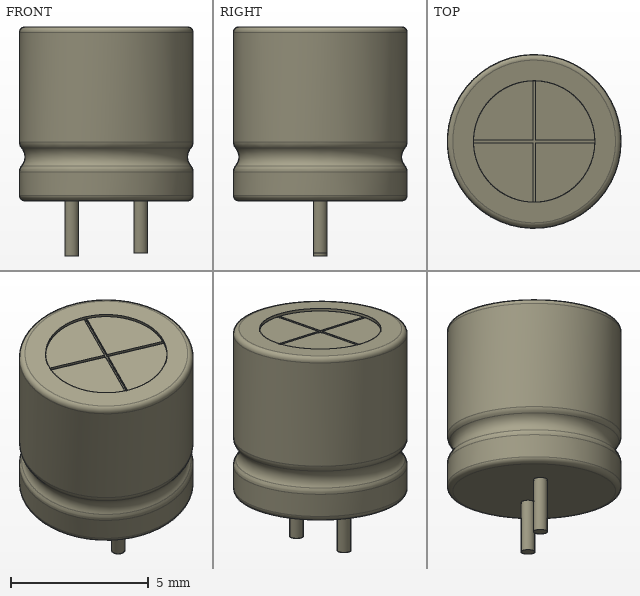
import cadquery as cq

CAN_RADIUS = 6.3 / 2
CAN_HEIGHT = 6.3
RIM_RADIUS = 0.2

GROOVE_CENTER_Z = 1.59
GROOVE_DEPTH = 0.2
GROOVE_HALF_HEIGHT = 0.54
WAIST_HALF_HEIGHT = 0.325

PANEL_RADIUS = 2.2
PANEL_DEPTH = 0.1
SCORE_WIDTH = 0.1
SCORE_DEPTH = 0.1

LEAD_DIAMETER = 0.5
LEAD_PITCH = 2.5
LONG_LEAD_LENGTH = 2.0
SHORT_LEAD_LENGTH = 1.9
LEAD_OVERLAP = 0.5


def make_can():
    """Solid cylinder with rounded top and bottom rims."""
    can = cq.Workplane("XY").circle(CAN_RADIUS).extrude(CAN_HEIGHT)
    return can.faces("<Z or >Z").edges().fillet(RIM_RADIUS)


def make_groove_cutter():
    """Ring whose inner side is the S-curved groove profile."""
    outer_radius = CAN_RADIUS + GROOVE_DEPTH
    waist_radius = CAN_RADIUS - GROOVE_DEPTH
    bottom_z = GROOVE_CENTER_Z - GROOVE_HALF_HEIGHT
    top_z = GROOVE_CENTER_Z + GROOVE_HALF_HEIGHT

    joint_radius = waist_radius + GROOVE_DEPTH * WAIST_HALF_HEIGHT / GROOVE_HALF_HEIGHT
    lower_joint = (joint_radius, GROOVE_CENTER_Z - WAIST_HALF_HEIGHT)
    waist = (waist_radius, GROOVE_CENTER_Z)
    upper_joint = (joint_radius, GROOVE_CENTER_Z + WAIST_HALF_HEIGHT)

    lip_height = GROOVE_HALF_HEIGHT - WAIST_HALF_HEIGHT
    lip_depth = CAN_RADIUS - joint_radius
    lip_radius = (lip_height**2 + lip_depth**2) / (2 * lip_depth)

    return (
        cq.Workplane("XZ")
        .moveTo(CAN_RADIUS, bottom_z)
        .radiusArc(lower_joint, -lip_radius)
        .threePointArc(waist, upper_joint)
        .radiusArc((CAN_RADIUS, top_z), -lip_radius)
        .lineTo(outer_radius, top_z)
        .lineTo(outer_radius, bottom_z)
        .close()
        .revolve(360, (0, 0, 0), (0, 1, 0))
    )


def make_vent_cutter():
    """Round panel recess plus the two crossing score lines below it."""
    panel_z = CAN_HEIGHT - PANEL_DEPTH
    floor = cq.Workplane("XY", origin=(0, 0, panel_z))
    panel = floor.circle(PANEL_RADIUS).extrude(PANEL_DEPTH)

    panel_diameter = 2 * PANEL_RADIUS
    cross = floor.rect(panel_diameter, SCORE_WIDTH).extrude(-SCORE_DEPTH)
    cross = cross.union(floor.rect(SCORE_WIDTH, panel_diameter).extrude(-SCORE_DEPTH))
    return panel.union(cross)


def make_lead(x, length):
    """Round lead at the given X, projecting below the can by the given length."""
    top = cq.Workplane("XY", origin=(x, 0, LEAD_OVERLAP))
    return top.circle(LEAD_DIAMETER / 2).extrude(-(length + LEAD_OVERLAP))


result = make_can().cut(make_groove_cutter()).cut(make_vent_cutter())
result = result.union(make_lead(-LEAD_PITCH / 2, LONG_LEAD_LENGTH))
result = result.union(make_lead(LEAD_PITCH / 2, SHORT_LEAD_LENGTH))